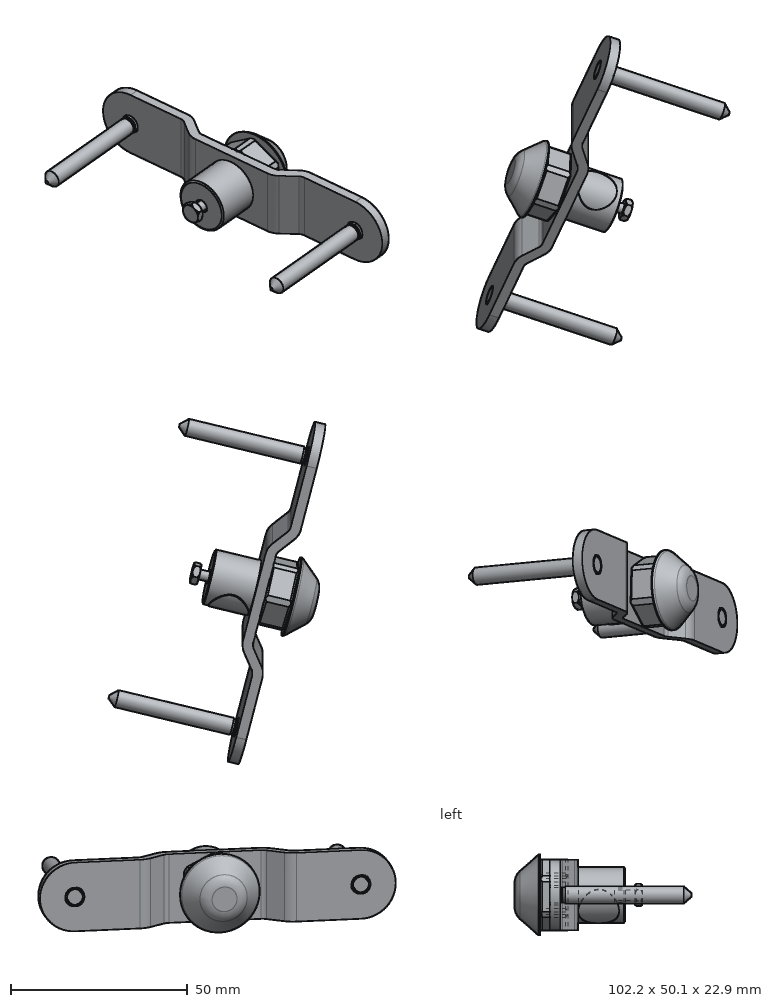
import cadquery as cq
import math


length = 102.2
strap_height = 20.0
thickness = 3.0
step = 5.0
middle_half = 13.2
bend_angle = 37.0
inner_bend_radius = 2.6
pin_hole_diameter = 5.5

pin_x = (length - strap_height) / 2
pin_diameter = 5.0
neck_diameter = 4.5
groove_diameter = 4.0
collar_length = 0.4
groove_width = 0.3
neck_length = 1.3
pin_end_y = -32.1
point_length = 2.2
point_tip_diameter = 1.0

hex_flats = 18.4
hex_across_corners = 20.1
hex_turn = -3.2
hex_end_chamfer = 0.6
hex_length = 7.8

rim_diameter = 22.9
rim_top_diameter = 22.3
rim_flare_height = 0.5
rim_edge_height = 0.3
cone_top_diameter = 13.6
cone_height = 4.9
crown_height = 1.5
crown_flat_diameter = 7.2

cylinder_diameter = 16.0
cylinder_length = 13.3
cylinder_end_diameter = 14.8
cylinder_bevel_length = 0.3
bore_diameter = 4.0
bore_depth = 3.1
badge_diameter = 11.6
badge_height = 0.2
badge_y = -5.8
badge_angle = 34.0

shank_diameter = 3.0
shank_length = 2.8
head_flats = 5.5
head_length = 2.1
head_chamfer = 0.5
head_turn = 2.0


def revolve_profile(points):
    """Revolve an (r, y) outline about the Y axis."""
    return cq.Workplane("XY").polyline(points).close().revolve(360, (0, 0), (0, 1))


def hexagon(flats, depth, turn):
    """Hexagonal prism along -Y from y = 0; with no turn its corners point up and down."""
    corners = flats / math.cos(math.radians(30))
    prism = cq.Workplane("XZ").polygon(6, corners).extrude(depth)
    return prism.rotate((0, 0, 0), (0, 1, 0), 30 + turn)


def make_strap():
    """Round-ended strap, bent twice on each side of its middle."""
    bend = math.radians(bend_angle)
    radius = inner_bend_radius + thickness / 2
    middle_y = thickness / 2
    end_y = middle_y + step
    rise = radius * (1 - math.cos(bend))
    slope_run = (step - 2 * rise) / math.tan(bend)
    overrun = length / 2 + thickness

    x1 = middle_half + radius * math.sin(bend)
    x2 = x1 + slope_run
    x3 = x2 + radius * math.sin(bend)
    half_dx = radius * math.sin(bend / 2)
    half_dy = radius * (1 - math.cos(bend / 2))
    centre_line = (
        cq.Workplane("XY")
        .moveTo(-overrun, end_y).lineTo(-x3, end_y)
        .threePointArc((-x3 + half_dx, end_y - half_dy), (-x2, end_y - rise))
        .lineTo(-x1, middle_y + rise)
        .threePointArc((-middle_half - half_dx, middle_y + half_dy), (-middle_half, middle_y))
        .lineTo(middle_half, middle_y)
        .threePointArc((middle_half + half_dx, middle_y + half_dy), (x1, middle_y + rise))
        .lineTo(x2, end_y - rise)
        .threePointArc((x3 - half_dx, end_y - half_dy), (x3, end_y))
        .lineTo(overrun, end_y)
    )
    sheet = centre_line.offset2D(thickness / 2).extrude(strap_height / 2, both=True)
    outline = cq.Workplane("XZ").slot2D(length, strap_height).extrude(length, both=True)
    holes = (
        cq.Workplane("XZ").pushPoints([(-pin_x, 0), (pin_x, 0)])
        .circle(pin_hole_diameter / 2).extrude(length, both=True)
    )
    return sheet.intersect(outline).cut(holes)


def make_pin(x):
    """Pointed pin whose grooved neck stands with clearance in the strap's hole."""
    body_r = pin_diameter / 2
    neck_r = neck_diameter / 2
    groove_r = groove_diameter / 2
    back_y = step + thickness
    collar_y = step - collar_length
    groove_y = collar_y - groove_width
    shoulder_y = step - neck_length
    pin = revolve_profile([
        (0, back_y), (neck_r, back_y), (neck_r, collar_y), (groove_r, collar_y), (groove_r, groove_y),
        (neck_r, groove_y), (neck_r, shoulder_y), (body_r, shoulder_y),
        (body_r, pin_end_y + point_length), (point_tip_diameter / 2, pin_end_y), (0, pin_end_y),
    ])
    return pin.translate((x, 0, 0))


def make_nut():
    """Hexagon with bevelled ends and its corners cut flat."""
    nut = hexagon(hex_flats, hex_length, hex_turn)
    nut = nut.faces("<Y or >Y").chamfer(hex_end_chamfer)
    corner_cutter = hexagon(hex_across_corners, hex_length, hex_turn + 30)
    nut = nut.intersect(corner_cutter)
    return nut.translate((0, thickness + hex_length, 0))


def make_knob():
    """Cone with a rounded crown and a thin flared rim."""
    base_y = thickness + hex_length
    edge_y = base_y + rim_edge_height
    rim_y = edge_y + rim_flare_height
    cone_y = rim_y + cone_height
    top_y = cone_y + crown_height
    cone_r = cone_top_diameter / 2
    flat_r = crown_flat_diameter / 2
    outline = (
        cq.Workplane("XY").moveTo(0, base_y).lineTo(rim_diameter / 2, base_y)
        .lineTo(rim_diameter / 2, edge_y)
        .lineTo(rim_top_diameter / 2, rim_y).lineTo(cone_r, cone_y)
        .tangentArcPoint((flat_r, top_y), relative=False).lineTo(0, top_y).close()
    )
    return outline.revolve(360, (0, 0), (0, 1))


def make_lock_cylinder():
    """Bevelled cylinder with a bore in its front end."""
    radius = cylinder_diameter / 2
    bore_radius = bore_diameter / 2
    bore_floor_y = bore_depth - cylinder_length
    return revolve_profile([
        (0, 0), (radius, 0), (radius, cylinder_bevel_length - cylinder_length),
        (cylinder_end_diameter / 2, -cylinder_length), (bore_radius, -cylinder_length),
        (bore_radius, bore_floor_y), (0, bore_floor_y),
    ])


def make_badge():
    """Thin round badge curved to lie on the side of the lock cylinder."""
    inner_r = cylinder_diameter / 2
    sleeve = (
        cq.Workplane("XZ").circle(inner_r + badge_height).circle(inner_r).extrude(cylinder_length)
    )
    disc = cq.Workplane("YZ").center(badge_y, 0).circle(badge_diameter / 2).extrude(-cylinder_diameter)
    return disc.rotate((0, 0, 0), (0, 1, 0), -badge_angle).intersect(sleeve)


def make_screw():
    """Hexagon-headed screw whose shank rests on the floor of the bore."""
    head = hexagon(head_flats, head_length, head_turn)
    corner_r = head_flats / math.cos(math.radians(30)) / 2
    flat_r = head_flats / 2
    turned = revolve_profile([
        (0, 0), (flat_r, 0), (corner_r, -head_chamfer), (corner_r, head_chamfer - head_length),
        (flat_r, -head_length), (0, -head_length),
    ])
    head = head.intersect(turned).translate((0, -shank_length, 0))
    shank = cq.Workplane("XZ").circle(shank_diameter / 2).extrude(bore_depth + shank_length)
    shank = shank.translate((0, bore_depth, 0))
    return shank.union(head).translate((0, -cylinder_length, 0))


strap = make_strap()
pins = [make_pin(x) for x in (-pin_x, pin_x)]
nut = make_nut()
knob = make_knob()
lock_cylinder = make_lock_cylinder()
badge = make_badge()
screw = make_screw()

result = cq.Compound.makeCompound([
    strap.val(),
    *[pin.val() for pin in pins],
    nut.val(),
    knob.val(),
    lock_cylinder.val(),
    badge.val(),
    screw.val(),
])